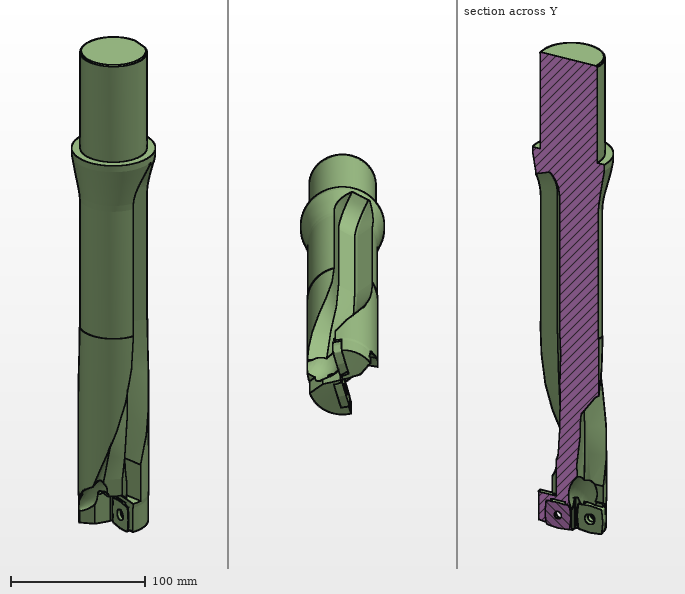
import cadquery as cq
import math

TOTAL_LENGTH = 390.98
SHANK_LENGTH = 80.0
FLANGE_TOP = TOTAL_LENGTH - SHANK_LENGTH
FLANGE_THICKNESS = 5.2
FLANGE_BOTTOM = FLANGE_TOP - FLANGE_THICKNESS
NECK_MIDDLE = 290.5
NECK_BOTTOM = 275.5
BODY_TOP = 270.5
HEAD_CHAMFER_TOP = 27.0
HEAD_CHAMFER_BOTTOM = 23.5
HEAD_RIM = 3.5
HEAD_CENTER = 1.2

SHANK_RADIUS = 49.99 / 2
FLANGE_RADIUS = 62.5 / 2
NECK_MIDDLE_RADIUS = 28.6
NECK_RADIUS = 26.4
UPPER_BODY_RADIUS = 26.0
LOWER_BODY_RADIUS = 26.3
HEAD_RADIUS = 26.0
SHANK_CHAMFER = 1.0

FLAT_OFFSET = 23.0
FLAT_BOTTOM = FLANGE_TOP + 4.0

FLUTE_FLOOR = [(2.2, 10.0), (12.0, 0.3)]
FLUTE_WALL_NEAR_X_END = (34.0, 1.3)
FLUTE_WALL_NEAR_Y = [(10.7, 34.0), (2.6, 12.2)]
FLUTE_OUTSIDE = (34.0, 34.0)
FLUTE_MOUTH_SECTION = FLUTE_FLOOR + [FLUTE_WALL_NEAR_X_END] + FLUTE_WALL_NEAR_Y
FLUTE_SECTION = FLUTE_FLOOR + [FLUTE_WALL_NEAR_X_END, FLUTE_OUTSIDE] + FLUTE_WALL_NEAR_Y
TWIST_TOP = 165.5
TWIST_BOTTOM = 41.0
TWIST_RAMP_LENGTH = 90.0
TWIST_RAMP = 0.00487
TWIST_STEPS = 24
RUNOUT_RADIUS = 30.5
RUNOUT_ANGLE = 72.0

FLUTE_BOTTOM = HEAD_CHAMFER_TOP
STEP_TOP = 57.0

GULLET_TOP = FLUTE_BOTTOM
GULLET_FLOOR_Y = 0.8
GULLET_CORNER_Y = -14.6
CENTER_GULLET_BACK_X = -2.8
CENTER_GULLET_RIM = (-9.0, -24.0)
PERIPHERAL_GULLET_BACK_X = 3.0
PERIPHERAL_GULLET_RIM = (-2.0, -26.5)
CENTER_BOWL_RADIUS = 10.0
CENTER_BOWL_HALF_LENGTH = 24.0
CENTER_BOWL_MIDDLE = (6.0, -19.0, 30.0)
CENTER_BOWL_AXIS = (0.7, 0.2, 0.7)
PERIPHERAL_BOWL_RADIUS = 15.0
PERIPHERAL_BOWL_HALF_LENGTH = 25.0
PERIPHERAL_BOWL_MIDDLE = (13.0, -12.0, 28.5)
PERIPHERAL_BOWL_AXIS = (0.1, 0.35, 0.9)
COOLANT_DIAMETER = 4.0
COOLANT_Y = -10.0
COOLANT_Z = 28.0
COOLANT_DEPTH = 6.0

INSERT_CORNER = 10.2
INSERT_BULGE = 11.2
INSERT_CORNER_RADIUS = 1.5
INSERT_THICKNESS = 6.5
INSERT_RELIEF_ANGLE = 5.0
INSERT_HOLE_DIAMETER = 5.7
INSERT_SINK_DIAMETER = 8.4
INSERT_SINK_ANGLE = 60.0
CENTER_INSERT_X = 9.2
CENTER_INSERT_Z = INSERT_BULGE
PERIPHERAL_INSERT_X = 15.6
PERIPHERAL_INSERT_SETBACK = 0.8
PERIPHERAL_INSERT_Z = INSERT_BULGE + PERIPHERAL_INSERT_SETBACK
SEAT_RELIEF_HEIGHT = 2.0
SEAT_RELIEF_WIDTH = 12.0
SCREW_HOLE_DIAMETER = 4.7
SCREW_HOLE_DEPTH = 8.0

CLEARANCE = 5.0


def half_turn(shape):
    return shape.rotate((0, 0, 0), (0, 0, 1), 180)


def rotated(point, degrees):
    angle = math.radians(degrees)
    x, y = point
    return (
        x * math.cos(angle) - y * math.sin(angle),
        x * math.sin(angle) + y * math.cos(angle),
    )


def twist_at(z):
    """Rotation of the flute at height z: it speeds up along the ramp, then stays steady."""
    drop = max(TWIST_TOP - z, 0.0)
    if drop <= TWIST_RAMP_LENGTH:
        return -TWIST_RAMP * drop**2
    ramp_end = TWIST_RAMP * TWIST_RAMP_LENGTH**2
    steady_rate = 2 * TWIST_RAMP * TWIST_RAMP_LENGTH
    return -(ramp_end + steady_rate * (drop - TWIST_RAMP_LENGTH))


def turned_body():
    profile = (
        cq.Workplane("XZ")
        .moveTo(0, TOTAL_LENGTH)
        .lineTo(SHANK_RADIUS - SHANK_CHAMFER, TOTAL_LENGTH)
        .lineTo(SHANK_RADIUS, TOTAL_LENGTH - SHANK_CHAMFER)
        .lineTo(SHANK_RADIUS, FLANGE_TOP)
        .lineTo(FLANGE_RADIUS, FLANGE_TOP)
        .lineTo(FLANGE_RADIUS, FLANGE_BOTTOM)
        .threePointArc((NECK_MIDDLE_RADIUS, NECK_MIDDLE), (NECK_RADIUS, NECK_BOTTOM))
        .lineTo(UPPER_BODY_RADIUS, BODY_TOP)
        .lineTo(UPPER_BODY_RADIUS, TWIST_TOP)
        .lineTo(LOWER_BODY_RADIUS, TWIST_TOP)
        .lineTo(LOWER_BODY_RADIUS, HEAD_CHAMFER_TOP)
        .lineTo(HEAD_RADIUS, HEAD_CHAMFER_BOTTOM)
        .lineTo(HEAD_RADIUS, HEAD_RIM)
        .lineTo(0, HEAD_CENTER)
        .close()
    )
    return profile.revolve(360, (0, 0, 0), (0, 1, 0))


def shank_flat():
    height = TOTAL_LENGTH - FLAT_BOTTOM
    return cq.Workplane("XY").box(
        2 * SHANK_RADIUS, SHANK_RADIUS, height, centered=(True, False, False)
    ).translate((0, FLAT_OFFSET, FLAT_BOTTOM))


def straight_flute():
    return (
        cq.Workplane("XY", origin=(0, 0, TWIST_TOP))
        .polyline(FLUTE_SECTION)
        .close()
        .extrude(NECK_BOTTOM - TWIST_TOP)
    )


def flute_runout():
    """The flute section swung outwards on an arc, so its floor climbs out of the neck."""
    diagonal = math.sqrt(0.5)
    floor_depth = sum(FLUTE_FLOOR[0]) * diagonal
    reach = (floor_depth + RUNOUT_RADIUS) * diagonal
    return (
        cq.Workplane("XY", origin=(0, 0, NECK_BOTTOM))
        .polyline(FLUTE_MOUTH_SECTION)
        .close()
        .revolve(RUNOUT_ANGLE, (reach, reach), (reach - 1, reach + 1))
    )


def twisted_flute():
    """Solid between the turning edges of the flute section, ruled from edge to edge."""
    heights = [
        TWIST_TOP + (TWIST_BOTTOM - TWIST_TOP) * step / TWIST_STEPS
        for step in range(TWIST_STEPS + 1)
    ]
    edges = [
        cq.Edge.makeSpline([cq.Vector(*rotated(corner, twist_at(z)), z) for z in heights])
        for corner in FLUTE_SECTION
    ]
    faces = [
        cq.Face.makeRuledSurface(edge, edges[(index + 1) % len(edges)])
        for index, edge in enumerate(edges)
    ]
    for end in (0, 1):
        corners = [edge.positionAt(end) for edge in edges]
        faces.append(cq.Face.makeFromWires(cq.Wire.makePolygon(corners, close=True)))
    return cq.Workplane(cq.Solid.makeSolid(cq.Shell.makeShell(faces)).fix())


def straight_continuation(outline, top):
    """An outline turned as the flute stands at height top, carried straight down to the head."""
    return (
        cq.Workplane("XY", origin=(0, 0, FLUTE_BOTTOM))
        .polyline([rotated(corner, twist_at(top)) for corner in outline])
        .close()
        .extrude(top - FLUTE_BOTTOM)
    )


def flute_tail():
    return straight_continuation(FLUTE_SECTION, TWIST_BOTTOM)


def flute_step():
    """Straight step behind the twisted wall, bounded by that wall's line at the step top."""
    outline = FLUTE_WALL_NEAR_Y + [FLUTE_FLOOR[0], FLUTE_OUTSIDE]
    return straight_continuation(outline, STEP_TOP)


def gullet(back_x, rim):
    outside = FLANGE_RADIUS
    return (
        cq.Workplane("XY", origin=(0, 0, -CLEARANCE))
        .moveTo(back_x, GULLET_FLOOR_Y)
        .lineTo(outside, GULLET_FLOOR_Y)
        .lineTo(outside, -outside)
        .lineTo(rim[0], -outside)
        .lineTo(*rim)
        .lineTo(back_x, GULLET_CORNER_Y)
        .close()
        .extrude(CLEARANCE + GULLET_TOP)
    )


def bowl(radius, half_length, middle, axis):
    """Spindle swept by a shallow arc turning about the slanted axis of the bowl."""
    plane = cq.Plane(origin=middle, xDir=axis, normal=(-axis[1], axis[0], 0))
    return (
        cq.Workplane(plane)
        .moveTo(-half_length, 0)
        .threePointArc((0, radius), (half_length, 0))
        .close()
        .revolve(360, (0, 0, 0), (1, 0, 0))
    )


def coolant_hole():
    return (
        cq.Workplane("YZ", origin=(-COOLANT_DEPTH, COOLANT_Y, COOLANT_Z))
        .circle(COOLANT_DIAMETER / 2)
        .extrude(2 * COOLANT_DEPTH)
    )


def insert_blank(x, z):
    """Insert with sharp corners and no hole, its cutting face on Y = 0 and its back smaller."""
    corner = INSERT_CORNER
    bulge = INSERT_BULGE
    outline = [
        (corner, corner),
        (0, bulge),
        (-corner, corner),
        (-bulge, 0),
        (-corner, -corner),
        (0, -bulge),
        (corner, -corner),
        (bulge, 0),
    ]
    return (
        cq.Workplane("XZ", origin=(x, 0, z))
        .polyline(outline)
        .close()
        .extrude(-INSERT_THICKNESS, taper=INSERT_RELIEF_ANGLE)
    )


def insert(x, z):
    body = insert_blank(x, z)
    for side_x in (-INSERT_CORNER, INSERT_CORNER):
        for side_z in (-INSERT_CORNER, INSERT_CORNER):
            corner = (x + side_x, INSERT_THICKNESS / 2, z + side_z)
            edge = body.edges(cq.selectors.NearestToPointSelector(corner))
            body = edge.fillet(INSERT_CORNER_RADIUS)
    sink_depth = (INSERT_SINK_DIAMETER - INSERT_HOLE_DIAMETER) / 2
    sink_depth /= math.tan(math.radians(INSERT_SINK_ANGLE / 2))
    sink = cq.Solid.makeCone(
        INSERT_SINK_DIAMETER / 2,
        INSERT_HOLE_DIAMETER / 2,
        sink_depth,
        cq.Vector(x, 0, z),
        cq.Vector(0, 1, 0),
    )
    hole = (
        cq.Workplane("XZ", origin=(x, 0, z))
        .circle(INSERT_HOLE_DIAMETER / 2)
        .extrude(-INSERT_THICKNESS)
    )
    return body.cut(hole).cut(cq.Workplane(sink))


def insert_seat(x, z):
    """Sharp-cornered space for the insert, a relief above it and the screw hole behind it."""
    relief_top = z + INSERT_CORNER + SEAT_RELIEF_HEIGHT
    relief = cq.Workplane("XY").box(
        SEAT_RELIEF_WIDTH, INSERT_THICKNESS, relief_top - z, centered=(True, False, False)
    ).translate((x, 0, z))
    screw_hole = (
        cq.Workplane("XZ", origin=(x, 0, z))
        .circle(SCREW_HOLE_DIAMETER / 2)
        .extrude(-INSERT_THICKNESS - SCREW_HOLE_DEPTH)
    )
    return insert_blank(x, z).union(relief).union(screw_hole)


def seat_side_opening():
    """Opens the peripheral seat to the outside of the head, beside and above the insert."""
    inner = PERIPHERAL_INSERT_X + SEAT_RELIEF_WIDTH / 2
    top = PERIPHERAL_INSERT_Z + INSERT_CORNER + SEAT_RELIEF_HEIGHT
    return cq.Workplane("XY").box(
        FLANGE_RADIUS - inner, INSERT_THICKNESS, top + CLEARANCE, centered=False
    ).translate((inner, 0, -CLEARANCE))


drill_body = turned_body().cut(shank_flat())
flute_parts = [straight_flute(), flute_runout(), twisted_flute(), flute_tail()]
for cutter in flute_parts + [coolant_hole()]:
    drill_body = drill_body.cut(cutter).cut(half_turn(cutter))

center_parts = [
    flute_step(),
    gullet(CENTER_GULLET_BACK_X, CENTER_GULLET_RIM),
    bowl(
        CENTER_BOWL_RADIUS,
        CENTER_BOWL_HALF_LENGTH,
        CENTER_BOWL_MIDDLE,
        CENTER_BOWL_AXIS,
    ),
    insert_seat(CENTER_INSERT_X, CENTER_INSERT_Z),
]
for cutter in center_parts:
    drill_body = drill_body.cut(cutter)

peripheral_parts = [
    gullet(PERIPHERAL_GULLET_BACK_X, PERIPHERAL_GULLET_RIM),
    bowl(
        PERIPHERAL_BOWL_RADIUS,
        PERIPHERAL_BOWL_HALF_LENGTH,
        PERIPHERAL_BOWL_MIDDLE,
        PERIPHERAL_BOWL_AXIS,
    ),
    insert_seat(PERIPHERAL_INSERT_X, PERIPHERAL_INSERT_Z),
    seat_side_opening(),
]
for cutter in peripheral_parts:
    drill_body = drill_body.cut(half_turn(cutter))

center_insert = insert(CENTER_INSERT_X, CENTER_INSERT_Z)
peripheral_insert = half_turn(insert(PERIPHERAL_INSERT_X, PERIPHERAL_INSERT_Z))

result = cq.Compound.makeCompound(
    [drill_body.val(), center_insert.val(), peripheral_insert.val()]
)